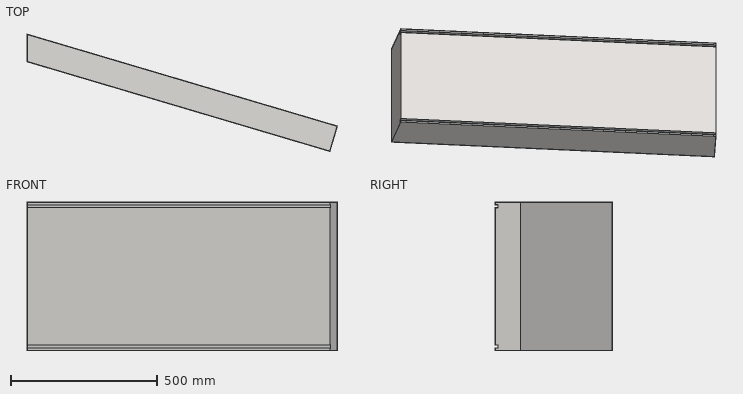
import cadquery as cq
import math

length_x = 1060.0
height = 508.0
thickness = 90.0
slant = math.radians(16.5)

groove_depth = 10.0
groove_width = 10.0
groove_margin = 10.0

front_left_y = -thickness / math.cos(slant)


def slanted_outline(depth):
    """Plan outline reaching from the front face to a given depth behind it.

    The left end is parallel to Y; the right end is square to the front face.
    """
    back_left_y = front_left_y + depth / math.cos(slant)
    front_right_x = length_x - thickness * math.sin(slant)
    front_right_y = front_left_y - front_right_x * math.tan(slant)
    return [
        (0, front_left_y),
        (front_right_x, front_right_y),
        (front_right_x + depth * math.sin(slant), front_right_y + depth * math.cos(slant)),
        (0, back_left_y),
    ]


def slanted_slab(depth, bottom_z, slab_height):
    """Slab lying against the front face, starting at the given level."""
    outline = slanted_outline(depth)
    return cq.Workplane("XY").workplane(offset=bottom_z).polyline(outline).close().extrude(slab_height)


result = slanted_slab(thickness, 0, height)

upper_groove_z = height - groove_margin - groove_width
for groove_z in (groove_margin, upper_groove_z):
    result = result.cut(slanted_slab(groove_depth, groove_z, groove_width))